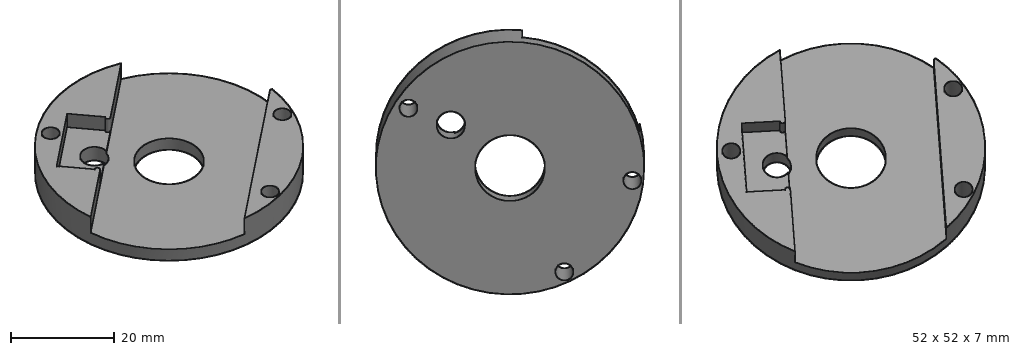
import cadquery as cq

disc_diameter = 52
disc_height = 7.0
channel_floor = 2.95
bore_diameter = 13.5
channel_angle = -45

front_wall = -12.3
back_wall = 17.25

tip_face_x = -1.05
tip_trim_size = 1.05

pocket_floor = 3.55
pocket_center = 1.05
pocket_width = 15.6
pocket_back = -20.8
pocket_hole_diameter = 5.5
pocket_hole_y = -14.45
lip_radius = 0.5

screw_hole_diameter = 3.5
screw_holes = [(-11.95, 20.6), (10.95, 21.15), (-0.6, -23.2)]


def block(x_center, x_size, y_min, y_max, z_floor):
    """Box from z_floor up to the top face of the disc."""
    return (
        cq.Workplane("XY", origin=(x_center, (y_min + y_max) / 2, z_floor))
        .box(x_size, y_max - y_min, disc_height - z_floor, centered=(True, True, False))
    )


def cylinder(x, y, diameter, z_floor=0):
    """Upright cylinder from z_floor up to the top face of the disc."""
    return (
        cq.Workplane("XY", origin=(x, y, z_floor))
        .circle(diameter / 2)
        .extrude(disc_height - z_floor)
    )


def lipped_pocket():
    """Rectangular pocket with a round lip on each side of its mouth."""
    pocket = block(pocket_center, pocket_width, pocket_back, front_wall, pocket_floor)
    for side in (-1, 1):
        lip_x = pocket_center + side * pocket_width / 2
        pocket = pocket.cut(cylinder(lip_x, front_wall - lip_radius, 2 * lip_radius, pocket_floor))
    return pocket


body = cylinder(0, 0, disc_diameter)
body = body.cut(block(0, disc_diameter, front_wall, back_wall, channel_floor))

body = body.cut(lipped_pocket())
body = body.cut(cylinder(pocket_center, pocket_hole_y, pocket_hole_diameter))

body = body.cut(cylinder(0, 0, bore_diameter))
for hole_x, hole_y in screw_holes:
    body = body.cut(cylinder(hole_x, hole_y, screw_hole_diameter))

body = body.rotate((0, 0, 0), (0, 0, 1), channel_angle)

tip_trim = block(
    tip_face_x - tip_trim_size / 2,
    tip_trim_size,
    disc_diameter / 2 - tip_trim_size,
    disc_diameter / 2,
    channel_floor,
)
result = body.cut(tip_trim)